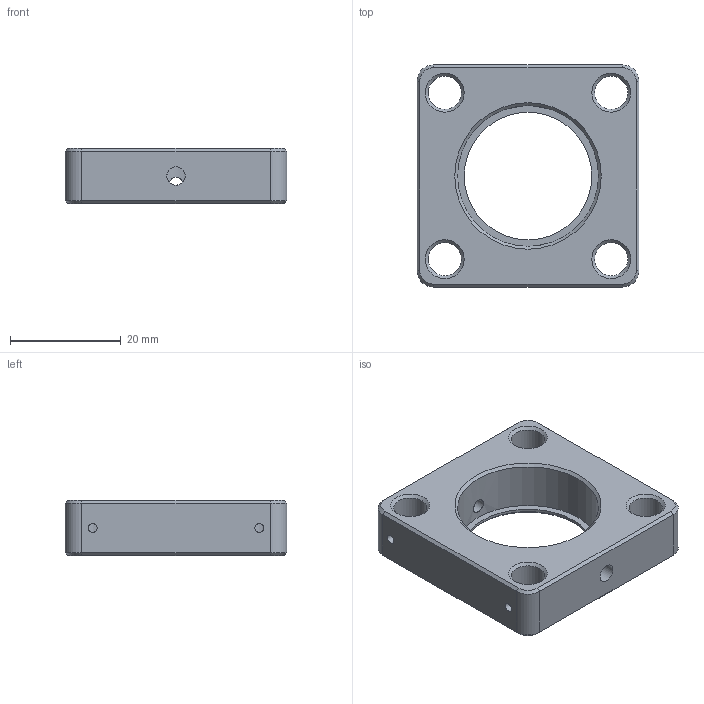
import cadquery as cq

UP = (0, 0, 1)
DOWN = (0, 0, -1)

plate_size = 40.0
plate_thickness = 10.0
corner_radius = 3.0
edge_chamfer = 0.5
half_size = plate_size / 2
mid_height = plate_thickness / 2

seat_diameter = 25.4
seat_chamfer = 0.5
lip_diameter = 23.0
lip_thickness = 1.0
lip_chamfer = 0.5

rod_spacing = 30.0
rod_offset = rod_spacing / 2
rod_diameter = 6.0
rod_chamfer = 0.5

side_hole_diameter = 1.6

front_hole_diameter = 3.3
rear_hole_diameter = 2.5
rear_hole_height = 3.5


def make_plate():
    plate = cq.Workplane("XY").rect(plate_size, plate_size).extrude(plate_thickness)
    plate = plate.edges("|Z").fillet(corner_radius)
    return plate.faces("<Z or >Z").edges().chamfer(edge_chamfer)


def cylinder(diameter, length, start, direction):
    solid = cq.Solid.makeCylinder(diameter / 2, length, cq.Vector(*start), cq.Vector(*direction))
    return cq.Workplane(obj=solid)


def countersink(hole_diameter, depth, mouth, inward):
    """45-degree cone, widest at the mouth of a hole and narrowing to its diameter."""
    hole_radius = hole_diameter / 2
    solid = cq.Solid.makeCone(hole_radius + depth, hole_radius, depth, cq.Vector(*mouth), cq.Vector(*inward))
    return cq.Workplane(obj=solid)


def cut_bore(part):
    part = part.cut(cylinder(lip_diameter, plate_thickness, (0, 0, 0), UP))
    part = part.cut(cylinder(seat_diameter, plate_thickness, (0, 0, lip_thickness), UP))
    part = part.cut(countersink(seat_diameter, seat_chamfer, (0, 0, plate_thickness), DOWN))
    return part.cut(countersink(lip_diameter, lip_chamfer, (0, 0, 0), UP))


def cut_rod_holes(part):
    for x in (-rod_offset, rod_offset):
        for y in (-rod_offset, rod_offset):
            part = part.cut(cylinder(rod_diameter, plate_thickness, (x, y, 0), UP))
            part = part.cut(countersink(rod_diameter, rod_chamfer, (x, y, plate_thickness), DOWN))
    return part


def cut_side_holes(part):
    length = half_size - rod_offset
    for y in (-rod_offset, rod_offset):
        part = part.cut(cylinder(side_hole_diameter, length, (-half_size, y, mid_height), (1, 0, 0)))
    return part


def cut_radial_holes(part):
    part = part.cut(cylinder(front_hole_diameter, half_size, (0, -half_size, mid_height), (0, 1, 0)))
    return part.cut(cylinder(rear_hole_diameter, half_size, (0, half_size, rear_hole_height), (0, -1, 0)))


result = make_plate()
result = cut_bore(result)
result = cut_rod_holes(result)
result = cut_side_holes(result)
result = cut_radial_holes(result)